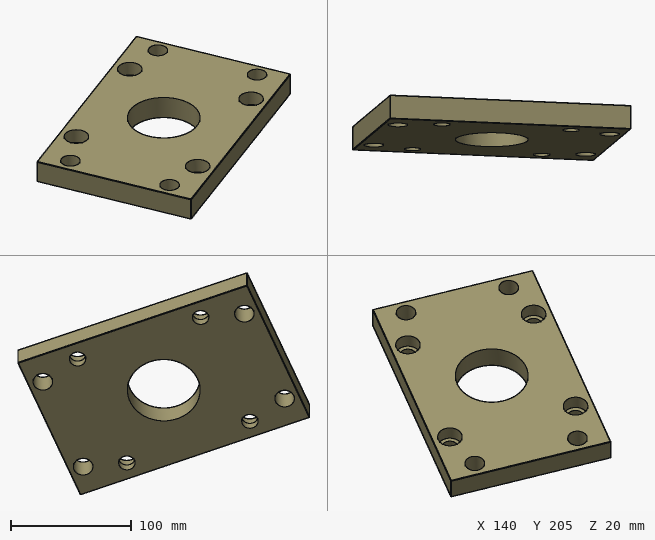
import cadquery as cq

width = 140.0
length = 205.0
thickness = 20.0
edge_chamfer = 0.55

bore_diameter = 60.3

corner_hole_diameter = 16.2
corner_hole_x = 44.9
corner_hole_y = 90.0

screw_hole_diameter = 13.5
screw_hole_offset = 55.0
counterbore_diameter = 20.3
counterbore_depth = 12.5


def symmetric_points(x, y):
    """Four points mirrored about both centre lines."""
    return [(sx * x, sy * y) for sx in (-1, 1) for sy in (-1, 1)]


plate = cq.Workplane("XY").box(width, length, thickness)
plate = plate.edges().chamfer(edge_chamfer)

plate = plate.faces(">Z").workplane().hole(bore_diameter)

plate = (
    plate.faces(">Z").workplane(origin=(0, 0, 0))
    .pushPoints(symmetric_points(corner_hole_x, corner_hole_y))
    .hole(corner_hole_diameter)
)

result = (
    plate.faces(">Z").workplane(origin=(0, 0, 0))
    .pushPoints(symmetric_points(screw_hole_offset, screw_hole_offset))
    .cboreHole(screw_hole_diameter, counterbore_diameter, counterbore_depth)
)